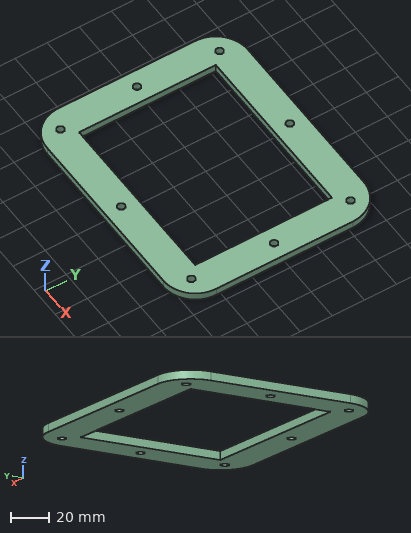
import cadquery as cq
import math

length = 150.0
width = 125.0
thickness = 5.0
border = 20.0
hole_diameter = 4.5

window_length = length - 2 * border
window_width = width - 2 * border

band_middle = border / 2
side_hole_x = window_length / 2 + band_middle
side_hole_y = window_width / 2 + band_middle
diagonal_offset = band_middle * math.cos(math.radians(45))
corner_hole_x = window_length / 2 + diagonal_offset
corner_hole_y = window_width / 2 + diagonal_offset

hole_centers = []
for side in (-1, 1):
    hole_centers.append((side * side_hole_x, 0))
    hole_centers.append((0, side * side_hole_y))
    for end in (-1, 1):
        hole_centers.append((side * corner_hole_x, end * corner_hole_y))


def rounded_plate():
    plate = cq.Workplane("XY").rect(length, width).extrude(thickness)
    return plate.edges("|Z").fillet(border)


def window():
    return cq.Workplane("XY").rect(window_length, window_width).extrude(thickness)


def screw_holes():
    return cq.Workplane("XY").pushPoints(hole_centers).circle(hole_diameter / 2).extrude(thickness)


result = rounded_plate().cut(window()).cut(screw_holes())